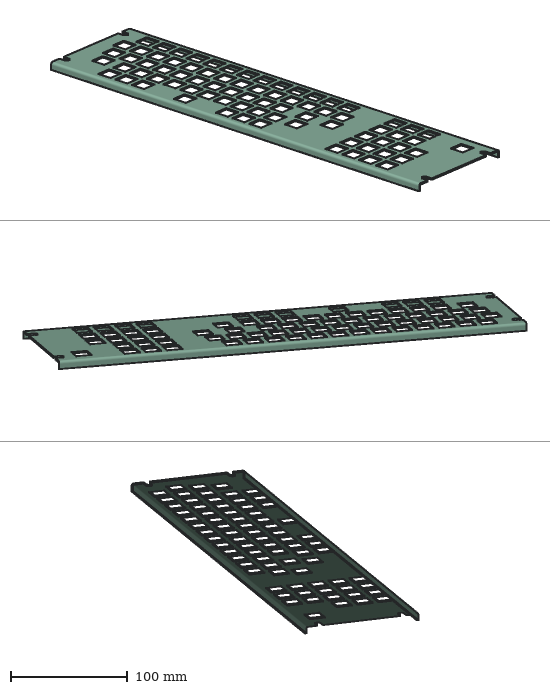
import cadquery as cq

length = 418.5
width = 104.0
height = 7.0
sheet = 1.5
bend_radius = 2.5
inner_bend_radius = bend_radius - sheet

ten_key_span = 190.5
pitch = ten_key_span / 10
key_size = 14.0
first_key_x = -178.5
keypad_offset = 14.8
lone_key_offset = 19
lone_key_drop = 0.25

slot_width = 5.5
slot_depth = 8.5
slot_spacing = 76.0


def key_run(start, count):
    """Offsets of neighbouring keys, in pitches."""
    return [start + i for i in range(count)]


main_rows = [
    key_run(0, 13),
    key_run(-0.5, 14),
    key_run(-0.25, 11) + [11.25, 12.75],
    [0] + key_run(1.25, 10) + [11.5],
    key_run(1.25, 3) + [5.75] + key_run(8.25, 3),
]
keypad_key_counts = [3, 3, 4, 4, 4]
back_row_y = pitch * (len(main_rows) - 1) / 2


def folded_sheet():
    """Flat panel with a downward flange along each long edge; top face at z = height."""
    outer = (
        cq.Workplane("XY")
        .box(length, width, height, centered=(True, True, False))
        .edges("|X and >Z")
        .fillet(bend_radius)
    )
    inner = (
        cq.Workplane("XY")
        .box(length, width - 2 * sheet, height - sheet, centered=(True, True, False))
        .edges("|X and >Z")
        .fillet(inner_bend_radius)
    )
    return outer.cut(inner)


def key_centres():
    """Centres of all key openings."""
    points = []
    for row, offsets in enumerate(main_rows):
        keypad = key_run(keypad_offset, keypad_key_counts[row])
        for offset in offsets + keypad:
            points.append((first_key_x + offset * pitch, back_row_y - row * pitch))
    lone_key = (first_key_x + lone_key_offset * pitch, back_row_y - lone_key_drop * pitch)
    return points + [lone_key]


def key_openings():
    return cq.Workplane("XY").pushPoints(key_centres()).rect(key_size, key_size).extrude(height)


def mounting_slots():
    """Round-ended slots centred on the short edges, so that half of each cuts the panel."""
    return (
        cq.Workplane("XY")
        .rarray(length, slot_spacing, 2, 2)
        .slot2D(2 * slot_depth, slot_width)
        .extrude(height)
    )


result = folded_sheet().cut(key_openings()).cut(mounting_slots())